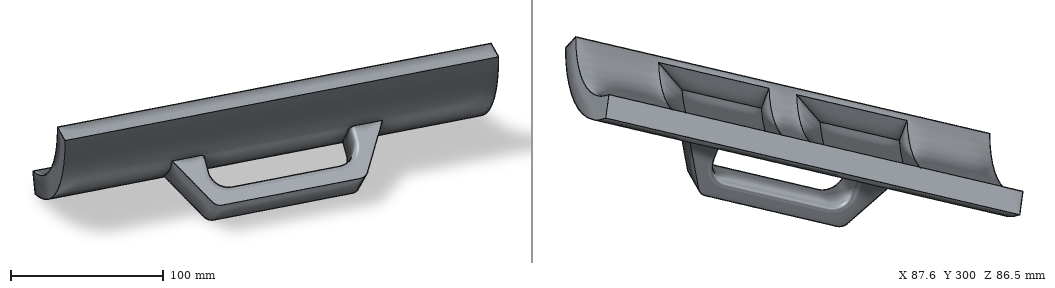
import cadquery as cq
import math

inner_radius = 75.0
wall = 16.0
outer_radius = inner_radius + wall
shell_length = 300.0
shell_angle = 72.0
mid_angle = shell_angle / 2

pocket_floor_radius = 88.0
pocket_length = 80.0
pocket_width = 80.0
pocket_gap = 20.0
ramp_angle = 60.0

handle_reach = 35.0
handle_width = 30.0
handle_tip_half_length = 51.8
handle_end_angle = 30.0
handle_corner_radius = 7.0
tip_radius = outer_radius + handle_reach
handle_root_radius = inner_radius + wall / 2

bar_thickness = 12.0
opening_length = 100.0
opening_corner_radius = 13.0
opening_edge_fillet = 4.0
rim_clearance = 0.1
opening_outer_radius = tip_radius - bar_thickness


def ring_segment(profile_points):
    """Revolve a (radius, y) profile through the shell angle, downwards from the +X direction."""
    profile = cq.Workplane("XY").polyline(profile_points).close()
    return profile.revolve(shell_angle, (0, 0), (0, 1))


def to_shell_middle(body):
    """Swing a body modelled along +X to the middle of the shell arc."""
    return body.rotate((0, 0, 0), (0, 1, 0), mid_angle)


def make_shell():
    half_length = shell_length / 2
    return ring_segment([
        (inner_radius, -half_length),
        (outer_radius, -half_length),
        (outer_radius, half_length),
        (inner_radius, half_length),
    ])


def make_pocket(y_start):
    """Pocket volume with a curved floor, a conical ramp and parallel side walls."""
    y_end = y_start + pocket_length
    ramp_slope = math.tan(math.radians(ramp_angle))
    ramp_length = ramp_slope * (pocket_floor_radius - inner_radius)
    clear_radius = inner_radius - wall
    swept = ring_segment([
        (clear_radius, y_start),
        (pocket_floor_radius, y_start),
        (pocket_floor_radius, y_end - ramp_length),
        (inner_radius, y_end),
        (clear_radius, y_end + ramp_slope * (inner_radius - clear_radius)),
    ])
    side_limits = cq.Workplane("XY").box(2 * outer_radius, shell_length, pocket_width)
    return swept.intersect(to_shell_middle(side_limits))


def make_handle_blank():
    root_half_length = handle_tip_half_length + (
        (tip_radius - handle_root_radius) * math.tan(math.radians(handle_end_angle))
    )
    blank = (
        cq.Workplane("XY")
        .polyline([
            (handle_root_radius, -root_half_length),
            (tip_radius, -handle_tip_half_length),
            (tip_radius, handle_tip_half_length),
            (handle_root_radius, root_half_length),
        ])
        .close()
        .extrude(handle_width / 2, both=True)
    )
    return blank.edges("|Z and >X").fillet(handle_corner_radius)


def make_opening():
    """Finger opening through the handle, rounded at the corners next to the bar."""
    opening_depth = opening_outer_radius - handle_root_radius
    return (
        cq.Workplane("XY")
        .center(handle_root_radius + opening_depth / 2, 0)
        .rect(opening_depth, opening_length)
        .extrude(handle_width / 2, both=True)
        .edges("|Z and >X")
        .fillet(opening_corner_radius)
    )


def make_handle():
    """Handle with the opening rims rounded on both faces, ending inside the shell wall."""
    handle = make_handle_blank().cut(make_opening())
    opening_region = cq.selectors.BoxSelector(
        (handle_root_radius, -opening_length / 2 - rim_clearance, -handle_width),
        (opening_outer_radius + rim_clearance, opening_length / 2 + rim_clearance, handle_width),
    )
    handle = handle.faces("|Z").edges(opening_region).fillet(opening_edge_fillet)
    bore_length = shell_length / 2
    bore = cq.Workplane("XZ").circle(handle_root_radius).extrude(bore_length, both=True)
    return to_shell_middle(handle.cut(bore))


shell = make_shell().union(make_handle())
for pocket_start in (pocket_gap / 2, -pocket_gap / 2 - pocket_length):
    shell = shell.cut(make_pocket(pocket_start))

result = shell